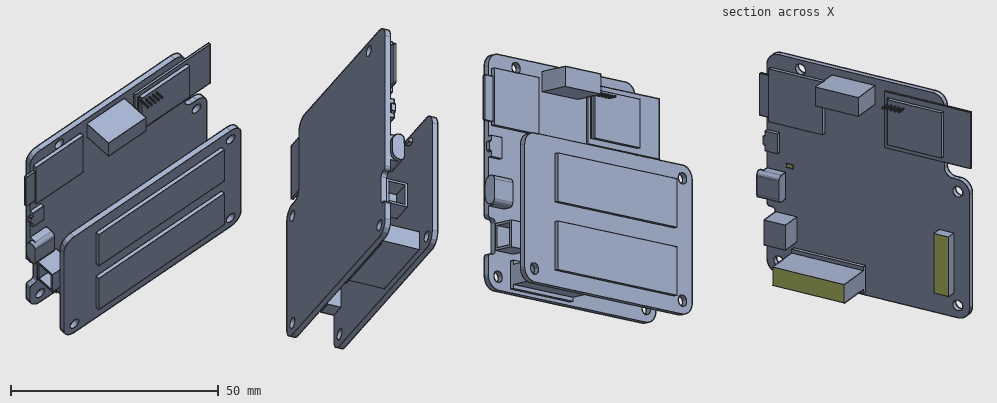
import cadquery as cq


BOARD_T = 1.45
BOARD_GAP = 11.05
BOARD_LENGTH = 56.35
MAIN_HEIGHT = 58.2
SECOND_HEIGHT = 36.75
CORNER_R = 3.3

MAIN_FACE = BOARD_T
SECOND_FACE = MAIN_FACE + BOARD_GAP
SECOND_BACK = SECOND_FACE + BOARD_T

STEP_Y = 49.4
STEP_R = 2.4

HOLE_D = 2.75
HOLE_INSET = 3.3
TOP_HOLE_Y = 9.35
TOP_HOLE_Z = 55.7

JACK_Z = 13.0
NOTCH_DEPTH = 2.3
NOTCH_WIDTH = 8.8
NOTCH_INNER_R = 1.0
NOTCH_OUTER_R = 0.8

LOW_PART_T = 1.0

JACK_LENGTH = 6.0
JACK_FRONT = 2.35
JACK_DEPTH_X = 5.5
JACK_WIDTH = 6.65
JACK_WALL = 0.6
JACK_CAVITY_DEPTH = 5.0

USB_Z = 23.85
USB_WIDTH = 7.1
USB_BACK = 5.15
USB_OVERHANG = 1.05
USB_LOWER_R = 2.0
USB_UPPER_R = 1.1

BUTTON_Z = 34.95
BUTTON_WIDTH = 5.2
BUTTON_LENGTH = 3.5
PLUNGER_ROOT = 2.75
PLUNGER_TIP = 2.0
PLUNGER_OVERHANG = 0.6

SOCKET_FRONT = 1.05
SOCKET_LENGTH = 15.05
SOCKET_BOTTOM = 40.3
SOCKET_TOP = 54.3
CARD_T = 0.6
CARD_WIDTH = 11.15
CARD_Z = 46.75
CARD_OVERHANG = 1.75
CARD_CORNER_R = 0.35

HEADER_Y = 24.1
HEADER_LENGTH = 12.0
HEADER_DEPTH_X = 8.0
HEADER_BOTTOM = 51.3
HEADER_HEIGHT = 5.0

MODULE_T = 0.6
MODULE_REAR = 56.95
MODULE_LENGTH = 23.95
MODULE_Z = 48.2
MODULE_WIDTH = 14.9
CHIP_FRONT = 34.35
CHIP_LENGTH = 15.15
CHIP_WIDTH = 12.0
CHIP_PAD_T = 0.25
CHIP_PAD_FRONT = 33.8
PIN_COUNT = 5
PIN_PITCH = 1.1
PIN_SIZE = 0.35
PIN_LENGTH = 2.3
FIRST_PIN_Y = 34.4
PIN_Z = 52.85

LINK_Y = 17.45
LINK_LENGTH = 19.95
LINK_Z = 4.4
LINK_HEIGHT = 5.0
LINK_FLANGE = 1.0

REAR_PLUG_T = 3.5
REAR_PLUG_LENGTH = 4.1
REAR_PLUG_Z = 18.4
REAR_PLUG_HEIGHT = 15.9

LED_LENGTH = 2.0
LED_HEIGHT = 1.05
LED_Y = 12.2
LED_Z = 34.75

OUTER_CHIP_LENGTH = 40.0
OUTER_CHIP_Y = 30.2
OUTER_CHIP_HEIGHT = 12.0
OUTER_CHIP_CENTRES_Z = (10.0, 26.8)


def span_box(x0, x1, y0, y1, z0, z1):
    """Axis-aligned block between two opposite corners."""
    return cq.Workplane("XY").box(x1 - x0, y1 - y0, z1 - z0, centered=False).translate((x0, y0, z0))


def block(x0, thickness, y0, length, z_centre, height):
    """Block standing on the plane x0, starting at y0 and centred in height on z_centre."""
    half = height / 2
    return span_box(x0, x0 + thickness, y0, y0 + length, z_centre - half, z_centre + half)


def drill(board, centres):
    """Mounting holes through a board at (y, z) centres."""
    drills = cq.Workplane("YZ").pushPoints(centres).circle(HOLE_D / 2).extrude(SECOND_BACK)
    return board.cut(drills)


def fillet_at(board, y, z, radius):
    """Round the board edge that runs along X through (y, z)."""
    reach = 0.05
    edge_zone = cq.selectors.BoxSelector(
        (-reach, y - reach, z - reach), (SECOND_BACK + reach, y + reach, z + reach)
    )
    return board.edges("|X").edges(edge_zone).fillet(radius)


LOWER_HOLES = [(HOLE_INSET, HOLE_INSET), (BOARD_LENGTH - HOLE_INSET, HOLE_INSET)]
REAR_UPPER_HOLE = (BOARD_LENGTH - HOLE_INSET, SECOND_HEIGHT - HOLE_INSET)


def main_board():
    board = span_box(0, BOARD_T, 0, BOARD_LENGTH, 0, MAIN_HEIGHT)
    board = board.cut(span_box(0, BOARD_T, STEP_Y, BOARD_LENGTH, SECOND_HEIGHT, MAIN_HEIGHT))
    board = board.cut(block(0, BOARD_T, 0, NOTCH_DEPTH, JACK_Z, NOTCH_WIDTH))

    outer_corners = [
        (0, 0),
        (BOARD_LENGTH, 0),
        (BOARD_LENGTH, SECOND_HEIGHT),
        (STEP_Y, MAIN_HEIGHT),
        (0, MAIN_HEIGHT),
    ]
    for y, z in outer_corners:
        board = fillet_at(board, y, z, CORNER_R)
    board = fillet_at(board, STEP_Y, SECOND_HEIGHT, STEP_R)
    for z in (JACK_Z - NOTCH_WIDTH / 2, JACK_Z + NOTCH_WIDTH / 2):
        board = fillet_at(board, NOTCH_DEPTH, z, NOTCH_INNER_R)
        board = fillet_at(board, 0, z, NOTCH_OUTER_R)

    return drill(board, LOWER_HOLES + [REAR_UPPER_HOLE, (TOP_HOLE_Y, TOP_HOLE_Z)])


def second_board():
    board = span_box(SECOND_FACE, SECOND_BACK, 0, BOARD_LENGTH, 0, SECOND_HEIGHT)
    board = board.edges("|X").fillet(CORNER_R)
    return drill(board, LOWER_HOLES + [REAR_UPPER_HOLE])


def power_jack():
    body = block(MAIN_FACE, JACK_DEPTH_X, JACK_FRONT, JACK_LENGTH, JACK_Z, JACK_WIDTH)
    cavity = block(
        MAIN_FACE + JACK_WALL, JACK_DEPTH_X - 2 * JACK_WALL,
        JACK_FRONT, JACK_CAVITY_DEPTH,
        JACK_Z, JACK_WIDTH - 2 * JACK_WALL,
    )
    return body.cut(cavity)


def usb_socket():
    thickness = USB_LOWER_R + USB_UPPER_R
    length = USB_OVERHANG + USB_BACK
    shell = block(MAIN_FACE, thickness, -USB_OVERHANG, length, USB_Z, USB_WIDTH)
    shell = shell.edges("|Y and >X").fillet(USB_UPPER_R)

    lip_space = block(MAIN_FACE, BOARD_GAP, -USB_OVERHANG, USB_OVERHANG, USB_Z, USB_WIDTH)
    rounded_space = lip_space.edges("|Y and <X").fillet(USB_LOWER_R)
    return shell.cut(lip_space.cut(rounded_space))


def push_button():
    body = block(MAIN_FACE, LOW_PART_T, 0, BUTTON_LENGTH, BUTTON_Z, BUTTON_WIDTH)
    root_half = PLUNGER_ROOT / 2
    tip_half = PLUNGER_TIP / 2
    taper_end = -(root_half - tip_half)
    plunger = (
        cq.Workplane("YZ", origin=(MAIN_FACE, 0, BUTTON_Z))
        .polyline([
            (0, -root_half),
            (0, root_half),
            (taper_end, tip_half),
            (-PLUNGER_OVERHANG, tip_half),
            (-PLUNGER_OVERHANG, -tip_half),
            (taper_end, -tip_half),
        ])
        .close()
        .extrude(LOW_PART_T)
    )
    return body.union(plunger)


def memory_card():
    socket = span_box(
        MAIN_FACE, MAIN_FACE + LOW_PART_T,
        SOCKET_FRONT, SOCKET_FRONT + SOCKET_LENGTH,
        SOCKET_BOTTOM, SOCKET_TOP,
    )
    card_length = SOCKET_FRONT + SOCKET_LENGTH + CARD_OVERHANG
    card = block(MAIN_FACE, CARD_T, -CARD_OVERHANG, card_length, CARD_Z, CARD_WIDTH)
    return socket.union(card.edges("|X and <Y").fillet(CARD_CORNER_R))


def top_header():
    return block(
        MAIN_FACE, HEADER_DEPTH_X,
        HEADER_Y - HEADER_LENGTH / 2, HEADER_LENGTH,
        HEADER_BOTTOM + HEADER_HEIGHT / 2, HEADER_HEIGHT,
    )


def radio_module():
    chip_base = MAIN_FACE + MODULE_T
    chip_top = chip_base + LOW_PART_T
    module = block(
        MAIN_FACE, MODULE_T, MODULE_REAR - MODULE_LENGTH, MODULE_LENGTH, MODULE_Z, MODULE_WIDTH
    )
    module = module.union(block(chip_base, LOW_PART_T, CHIP_FRONT, CHIP_LENGTH, MODULE_Z, CHIP_WIDTH))
    pad_length = CHIP_FRONT - CHIP_PAD_FRONT
    module = module.union(block(chip_base, CHIP_PAD_T, CHIP_PAD_FRONT, pad_length, MODULE_Z, CHIP_WIDTH))
    for i in range(PIN_COUNT):
        pin_start = FIRST_PIN_Y + i * PIN_PITCH - PIN_SIZE / 2
        module = module.union(
            block(chip_base, chip_top + PIN_LENGTH - chip_base, pin_start, PIN_SIZE, PIN_Z, PIN_SIZE)
        )
    return module


def board_link():
    start = LINK_Y - LINK_LENGTH / 2
    base_height = LINK_HEIGHT + 2 * LINK_FLANGE
    base = block(MAIN_FACE, LOW_PART_T, start, LINK_LENGTH, LINK_Z, base_height)
    return base.union(block(MAIN_FACE, BOARD_GAP, start, LINK_LENGTH, LINK_Z, LINK_HEIGHT))


def second_board_parts():
    parts = block(
        SECOND_FACE - REAR_PLUG_T, REAR_PLUG_T,
        BOARD_LENGTH - REAR_PLUG_LENGTH, REAR_PLUG_LENGTH,
        REAR_PLUG_Z, REAR_PLUG_HEIGHT,
    )
    parts = parts.union(block(
        SECOND_FACE - LOW_PART_T, LOW_PART_T, LED_Y - LED_LENGTH / 2, LED_LENGTH, LED_Z, LED_HEIGHT
    ))
    for z in OUTER_CHIP_CENTRES_Z:
        parts = parts.union(block(
            SECOND_BACK, LOW_PART_T,
            OUTER_CHIP_Y - OUTER_CHIP_LENGTH / 2, OUTER_CHIP_LENGTH,
            z, OUTER_CHIP_HEIGHT,
        ))
    return parts


result = (
    main_board()
    .union(power_jack())
    .union(usb_socket())
    .union(push_button())
    .union(memory_card())
    .union(top_header())
    .union(radio_module())
    .union(board_link())
    .union(second_board().union(second_board_parts()))
)